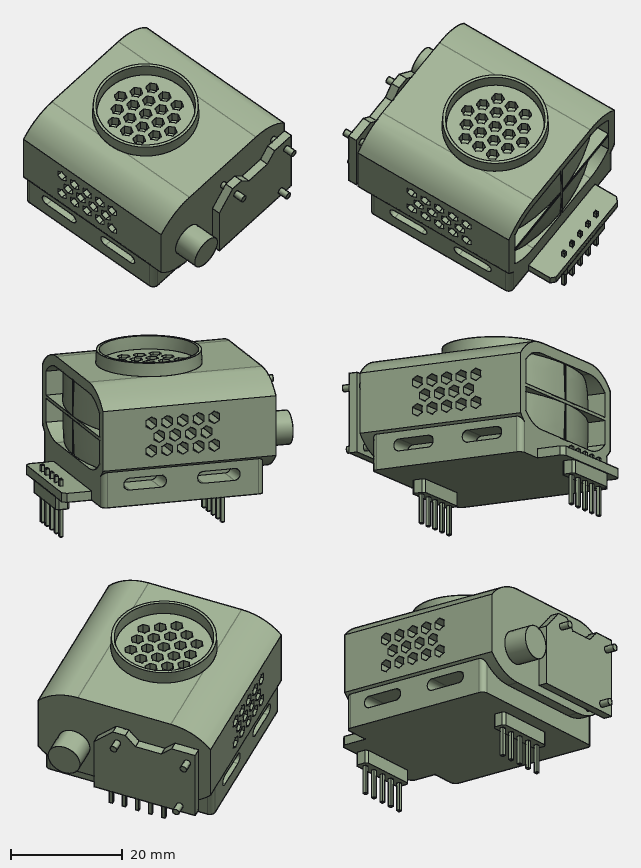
import cadquery as cq
import math


overall_length = 43.2

shell_length = 32.75
shell_width = 33.5
shell_half_width = shell_width / 2
shell_top = 21.55
shell_bottom = 3.55
shell_mid_z = (shell_top + shell_bottom) / 2
shell_half_height = shell_top - shell_mid_z
flat_half_width = 9.05
corner_radius = 10.35
wall = 2.0

base_length = 30.65
base_half_width = 16.35
base_corner_radius = 1.05
base_top = shell_mid_z
slot_length = 8.05
slot_height = 2.2
slot_depth = 5.2
slot_z = 4.05
slot_centers_x = (8.13, 22.1)
flange_reach = 5.45
flange_half_width = 10.5
flange_thickness = 1.7
flange_chamfer = 0.78

recess_edge_depth = 3.4
recess_half_width = shell_half_width - wall
dome_radius = (recess_half_width**2 + recess_edge_depth**2) / (2 * recess_edge_depth)
dome_profile_radius = 103.73
level_fin_thickness = 0.6
upright_fin_thickness = 0.45

collar_x = 14.45
collar_top = 24.0
collar_outer_radius = 9.55
collar_inner_radius = 8.77
collar_draft = 0.15
hex_flats = 2.0
hex_pitch = 3.0
hex_row_pitch = hex_pitch * math.sin(math.radians(60))
top_vent_depth = wall
top_vent_rows = (3, 4, 5, 4, 3)
side_vent_rows = (5, 4, 5)
side_vent_x = 15.13

boss_diameter = 6.2
boss_length = 4.6
boss_y = -9.75
boss_z = 10.03

plate_gap = 1.5
plate_thickness = 1.65
plate_left_y = 15.1
plate_right_y = -4.55
plate_top = 18.8
plate_bottom = 4.1
plate_chamfer = 3.65
notch_left_y = 10.5
notch_right_y = 1.5
notch_depth = 2.0
round_pin_diameter = 1.25
round_pin_length = overall_length - flange_reach - shell_length
upper_pin_z = 16.5
lower_pin_z = 5.55
round_pin_places = ((13.55, upper_pin_z), (12.1, lower_pin_z), (0.0, upper_pin_z))

header_centers_x = (-3.98, 26.6)
pin_count = 5
pin_pitch = 2.55
pin_width = 0.65
pin_top = 3.0
pin_bottom = -7.95
pin_tip_chamfer = 0.2
header_block_width = 2.55
header_block_height = 2.45
header_block_chamfer = 0.48


def barrel_profile(half_width, half_height, radius):
    """Closed Y-Z outline with flat top and bottom, upright sides and an arc at each corner."""
    arc_center_z = half_height - radius
    run = half_width - flat_half_width
    side_z = arc_center_z + math.sqrt(radius**2 - run**2)
    half_angle = math.asin(run / radius) / 2
    mid_y = flat_half_width + radius * math.sin(half_angle)
    mid_z = arc_center_z + radius * math.cos(half_angle)
    return (
        cq.Workplane("YZ", origin=(0, 0, shell_mid_z))
        .moveTo(-flat_half_width, half_height)
        .lineTo(flat_half_width, half_height)
        .threePointArc((mid_y, mid_z), (half_width, side_z))
        .lineTo(half_width, -side_z)
        .threePointArc((mid_y, -mid_z), (flat_half_width, -half_height))
        .lineTo(-flat_half_width, -half_height)
        .threePointArc((-mid_y, -mid_z), (-half_width, -side_z))
        .lineTo(-half_width, side_z)
        .threePointArc((-mid_y, mid_z), (-flat_half_width, half_height))
        .close()
    )


def make_shell():
    return barrel_profile(shell_half_width, shell_half_height, corner_radius).extrude(shell_length)


def make_base():
    base = cq.Workplane("XY").box(
        base_length, 2 * base_half_width, base_top, centered=(False, True, False)
    )
    return base.edges("|Z").fillet(base_corner_radius)


def make_flange():
    flange = cq.Workplane("XY", origin=(-flange_reach, 0, 0)).box(
        flange_reach + wall, 2 * flange_half_width, flange_thickness, centered=(False, True, False)
    )
    return flange.edges("|Z and <X").chamfer(flange_chamfer)


def make_boss():
    return (
        cq.Workplane("YZ", origin=(shell_length, boss_y, boss_z))
        .circle(boss_diameter / 2)
        .extrude(boss_length)
    )


def cone(bottom_radius, top_radius, bottom_z, top_z):
    """Upright cone frustum, or cylinder, on the collar axis."""
    return (
        cq.Workplane("XY", origin=(collar_x, 0, bottom_z))
        .circle(bottom_radius)
        .workplane(offset=top_z - bottom_z)
        .circle(top_radius)
        .loft(ruled=True)
    )


def make_collar():
    foot = cone(collar_outer_radius, collar_outer_radius, shell_top - wall, shell_top)
    outside = cone(collar_outer_radius, collar_outer_radius - collar_draft, shell_top, collar_top)
    inside = cone(collar_inner_radius, collar_inner_radius + collar_draft, shell_top, collar_top)
    return outside.cut(inside).union(foot)


def make_front_recess():
    """Pocket behind the open face: the inner outline less the domed wall and the fins."""
    opening = barrel_profile(recess_half_width, shell_half_height - wall, corner_radius - wall).extrude(
        2 * recess_edge_depth
    )
    half_height = shell_half_height
    sag = dome_profile_radius - math.sqrt(dome_profile_radius**2 - half_height**2)
    dome = (
        cq.Workplane("XZ")
        .moveTo(dome_radius, shell_mid_z - half_height)
        .lineTo(sag, shell_mid_z - half_height)
        .threePointArc((0, shell_mid_z), (sag, shell_mid_z + half_height))
        .lineTo(dome_radius, shell_mid_z + half_height)
        .close()
        .revolve(360, (dome_radius, 0, 0), (dome_radius, 1, 0))
    )
    level_fin = cq.Workplane("XY", origin=(0, 0, shell_mid_z)).box(
        2 * recess_edge_depth, shell_width, level_fin_thickness, centered=(False, True, True)
    )
    upright_fin = cq.Workplane("XY", origin=(0, 0, shell_mid_z)).box(
        2 * recess_edge_depth, upright_fin_thickness, 2 * shell_half_height, centered=(False, True, True)
    )
    return opening.cut(dome).cut(level_fin).cut(upright_fin)


def hex_rows(workplane, row_counts, depth):
    """Staggered rows of hexagonal prisms; rows run along the first axis of the workplane."""
    middle_row = (len(row_counts) - 1) / 2
    centers = []
    for row, count in enumerate(row_counts):
        for column in range(count):
            across = (column - (count - 1) / 2) * hex_pitch
            centers.append(((row - middle_row) * hex_row_pitch, across))
    corner_diameter = hex_flats / math.cos(math.radians(30))
    turned = workplane.transformed(rotate=(0, 0, 90))
    return turned.pushPoints(centers).polygon(6, corner_diameter).extrude(depth)


def make_top_vents():
    return hex_rows(cq.Workplane("XY", origin=(collar_x, 0, shell_top)), top_vent_rows, -top_vent_depth)


def make_side_vents():
    side = cq.Workplane("XZ", origin=(side_vent_x, shell_half_width, shell_mid_z))
    return hex_rows(side, side_vent_rows, shell_width)


def make_base_slots():
    slots = cq.Workplane("XY")
    for side in (-1, 1):
        slot_pair = (
            cq.Workplane("XZ", origin=(0, side * base_half_width, slot_z))
            .pushPoints([(x, 0) for x in slot_centers_x])
            .slot2D(slot_length, slot_height)
            .extrude(side * slot_depth)
        )
        slots = slots.add(slot_pair)
    return slots


def make_header(center_x):
    """One pin header: a block under the housing with a row of square pins through it."""
    header = cq.Workplane("XY", origin=(center_x, 0, -header_block_height)).box(
        header_block_width, pin_count * pin_pitch, header_block_height, centered=(True, True, False)
    )
    header = header.edges("|Z").chamfer(header_block_chamfer)
    for index in range(pin_count):
        pin_y = (index - (pin_count - 1) / 2) * pin_pitch
        pin = cq.Workplane("XY", origin=(center_x, pin_y, pin_bottom)).box(
            pin_width, pin_width, pin_top - pin_bottom, centered=(True, True, False)
        )
        header = header.union(pin.faces("<Z or >Z").chamfer(pin_tip_chamfer))
    return header


def make_housing(headers):
    housing = make_shell().union(make_base()).union(make_flange())
    housing = housing.union(make_collar()).union(make_boss())
    housing = housing.cut(make_front_recess())
    for vent in make_top_vents().vals() + make_side_vents().vals() + make_base_slots().vals():
        housing = housing.cut(cq.Workplane(vent))
    for header in headers:
        housing = housing.cut(header)
    return housing


def make_rear_plate():
    """Notched plate with three round pins that stand on the rear face of the housing."""
    plate = (
        cq.Workplane("YZ", origin=(shell_length + plate_gap, 0, 0))
        .moveTo(plate_left_y, plate_bottom)
        .lineTo(plate_left_y, plate_top)
        .lineTo(notch_left_y, plate_top)
        .lineTo(notch_left_y - notch_depth, plate_top - notch_depth)
        .lineTo(notch_right_y + notch_depth, plate_top - notch_depth)
        .lineTo(notch_right_y, plate_top)
        .lineTo(plate_right_y + plate_chamfer, plate_top)
        .lineTo(plate_right_y, plate_top - plate_chamfer)
        .lineTo(plate_right_y, plate_bottom)
        .close()
        .extrude(plate_thickness)
    )
    pins = (
        cq.Workplane("YZ", origin=(shell_length, 0, 0))
        .pushPoints(round_pin_places)
        .circle(round_pin_diameter / 2)
        .extrude(round_pin_length)
    )
    return plate.union(pins)


headers = [make_header(center_x) for center_x in header_centers_x]
housing = make_housing(headers)
rear_plate = make_rear_plate()

result = cq.Compound.makeCompound([housing.val(), rear_plate.val(), *[header.val() for header in headers]])